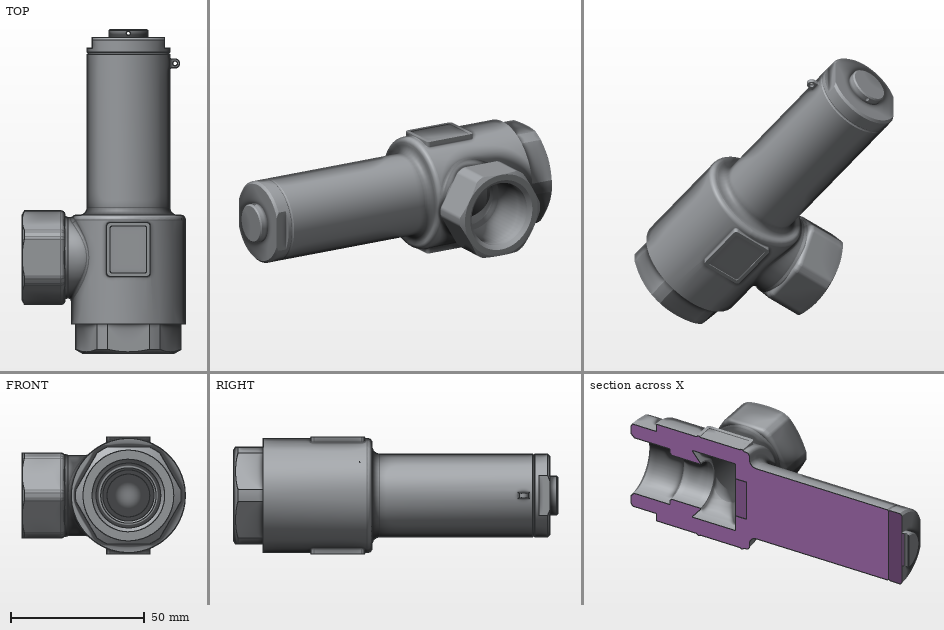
import cadquery as cq
import math


SELECT_MARGIN = 0.1

BODY_RADIUS = 21.4
SHOULDER_Y = 51.9
SHOULDER_FILLET = 1.8
BONNET_RADIUS = 15.5
BONNET_END_Y = 112.6
BONNET_FLARE = 2.8
BONNET_CHAMFER = 0.6

INLET_HEX_LENGTH = 11.0
INLET_HEX_FLATS = 36.3
INLET_HEX_CORNER_RADIUS = 19.8
INLET_FACE_RADIUS = 17.0

OUTLET_Y = 36.0
OUTLET_FACE_X = -39.9
OUTLET_HEX_FLATS = 32.0
OUTLET_HEX_CORNER_RADIUS = 17.6
OUTLET_FACE_RADIUS = 15.9
OUTLET_CORNER_FILLET = 2.4
OUTLET_BACK_X = -23.7
OUTLET_BACK_FILLET = 1.8
COLLAR_RADIUS = 15.4
NECK_START_X = -22.7
NECK_RADIUS = 15.1
NECK_FILLET = 1.2

HEX_SIDES = 6
HEX_CHAMFER_ANGLE = 30

THREAD_RADIUS = 12.2
THREAD_CHAMFER = 1.5
INLET_THREAD_DEPTH = 17.0
ORIFICE_RADIUS = 9.6
ORIFICE_CHAMFER = 0.79
OUTLET_THREAD_DEPTH = 21.9
OUTLET_BORE_RADIUS = 10.5
OUTLET_BORE_END_X = -10.0
OUTLET_CONE_LENGTH = 1.2
CHAMBER_RADIUS = 14.6
CHAMBER_FLOOR_Y = 26.9
CHAMBER_CEILING_Y = 45.6
SEAT_LIP_Y = 30.5
SEAT_LIP_WIDTH = 0.6

PISTON_RADIUS = 8.0
PISTON_LENGTH = 4.9

PAD_WIDTH = 16.3
PAD_LENGTH = 20.2
PAD_CENTRE_Y = 39.0
PAD_HEIGHT = 22.0
PAD_CORNER_RADIUS = 1.2
PAD_RIM = 1.3
PAD_FILLET = 0.4
PAD_RECESS = 0.4
PAD_RECESS_CORNER_RADIUS = 0.6
PAD_ROOT_Z = 17.0

EYE_X = 17.5
EYE_Y = 108.7
EYE_RADIUS = 1.7
EYE_HOLE_RADIUS = 0.9
EYE_THICKNESS = 1.7
EYE_FILLET = 0.5
EYE_EMBED = 1.2

CAP_END_Y = 118.5
CAP_TOP_CHAMFER = 0.9
CAP_BOTTOM_CHAMFER = 0.4
CAP_FLATS = 27.2
CAP_FLAT_START_Y = 114.5

SCREW_END_Y = 121.5
SCREW_RADIUS = 7.3
SCREW_CHAMFER = 0.5
SCREW_HOLE_RADIUS = 0.7
SCREW_HOLE_Y = 120.0


def y_cylinder(radius, start, end):
    """A cylinder on the main axis between two Y positions."""
    return cq.Workplane("XZ", origin=(0, start, 0)).circle(radius).extrude(start - end)


def turned_on_y(profile):
    """A solid turned about the main axis from (radius, y) points."""
    return cq.Workplane("XY").polyline(profile).close().revolve(360, (0, 0, 0), (0, 1, 0))


def turned_on_outlet(profile):
    """A solid turned about the outlet axis from (x, radius) points."""
    section = cq.Workplane("XY", origin=(0, OUTLET_Y, 0)).polyline(profile).close()
    return section.revolve(360, (0, 0, 0), (1, 0, 0))


def hexagon_diameter(flats):
    """Diameter across the sharp corners of a hexagon with the given width across flats."""
    return flats / math.cos(math.pi / HEX_SIDES)


def hex_chamfer_length(corner_radius, face_radius):
    """Axial length of the conical chamfer that cuts the hexagon corners down to the face circle."""
    return (corner_radius - face_radius) * math.tan(math.radians(HEX_CHAMFER_ANGLE))


def make_inlet_hex():
    chamfer = hex_chamfer_length(INLET_HEX_CORNER_RADIUS, INLET_FACE_RADIUS)
    outline = cq.Workplane("XZ").polygon(HEX_SIDES, hexagon_diameter(INLET_HEX_FLATS))
    prism = outline.extrude(-INLET_HEX_LENGTH)
    envelope = turned_on_y([
        (0, 0),
        (INLET_FACE_RADIUS, 0),
        (INLET_HEX_CORNER_RADIUS, chamfer),
        (INLET_HEX_CORNER_RADIUS, INLET_HEX_LENGTH),
        (0, INLET_HEX_LENGTH),
    ])
    return prism.intersect(envelope)


def make_outlet_hex():
    """Hexagon with rounded corners and back edge, joined to the neck by a tapered collar."""
    chamfer = hex_chamfer_length(OUTLET_HEX_CORNER_RADIUS, OUTLET_FACE_RADIUS)
    length = OUTLET_BACK_X - OUTLET_FACE_X
    plane = cq.Workplane("YZ", origin=(OUTLET_FACE_X, OUTLET_Y, 0))
    prism = plane.polygon(HEX_SIDES, hexagon_diameter(OUTLET_HEX_FLATS)).extrude(length)
    rounded = prism.intersect(plane.circle(OUTLET_HEX_CORNER_RADIUS).extrude(length))
    rounded = rounded.edges("|X").fillet(OUTLET_CORNER_FILLET)
    rounded = rounded.faces(">X").edges().fillet(OUTLET_BACK_FILLET)
    envelope = turned_on_outlet([
        (OUTLET_FACE_X, 0),
        (OUTLET_FACE_X, OUTLET_FACE_RADIUS),
        (OUTLET_FACE_X + chamfer, OUTLET_HEX_CORNER_RADIUS),
        (OUTLET_BACK_X, OUTLET_HEX_CORNER_RADIUS),
        (OUTLET_BACK_X, 0),
    ])
    collar_start = OUTLET_BACK_X - OUTLET_BACK_FILLET / 2
    collar = turned_on_outlet([
        (collar_start, 0),
        (collar_start, COLLAR_RADIUS),
        (OUTLET_BACK_X, COLLAR_RADIUS),
        (NECK_START_X, NECK_RADIUS),
        (NECK_START_X, 0),
    ])
    return rounded.intersect(envelope).union(collar)


def make_barrel():
    """Lower barrel and outlet neck, blended together, with the bonnet flaring out of the shoulder."""
    barrel = y_cylinder(BODY_RADIUS, INLET_HEX_LENGTH, SHOULDER_Y)
    barrel = barrel.edges(">Y").fillet(SHOULDER_FILLET)
    neck = (
        cq.Workplane("YZ", origin=(NECK_START_X, OUTLET_Y, 0))
        .circle(NECK_RADIUS)
        .extrude(-NECK_START_X)
    )
    joined = barrel.union(neck)
    neck_joint = cq.selectors.BoxSelector(
        (NECK_START_X + SELECT_MARGIN, 0, -BODY_RADIUS),
        (-SELECT_MARGIN, SHOULDER_Y, BODY_RADIUS),
        boundingbox=True,
    )
    joined = joined.edges(neck_joint).fillet(NECK_FILLET)
    bonnet = y_cylinder(BONNET_RADIUS, SHOULDER_Y, BONNET_END_Y).edges(">Y").chamfer(BONNET_CHAMFER)
    flare = (
        cq.Workplane("XY")
        .moveTo(0, SHOULDER_Y)
        .lineTo(BONNET_RADIUS + BONNET_FLARE, SHOULDER_Y)
        .radiusArc((BONNET_RADIUS, SHOULDER_Y + BONNET_FLARE), BONNET_FLARE)
        .lineTo(0, SHOULDER_Y + BONNET_FLARE)
        .close()
        .revolve(360, (0, 0, 0), (0, 1, 0))
    )
    return joined.union(bonnet).union(flare)


def make_pad():
    """Rounded nameplate pad with a raised rim, on the +Z side."""
    pad = (
        cq.Workplane("XY", origin=(0, PAD_CENTRE_Y, PAD_ROOT_Z))
        .rect(PAD_WIDTH, PAD_LENGTH)
        .extrude(PAD_HEIGHT - PAD_ROOT_Z)
        .edges("|Z")
        .fillet(PAD_CORNER_RADIUS)
    )
    recess = (
        cq.Workplane("XY", origin=(0, PAD_CENTRE_Y, PAD_HEIGHT))
        .rect(PAD_WIDTH - 2 * PAD_RIM, PAD_LENGTH - 2 * PAD_RIM)
        .extrude(-PAD_RECESS)
        .edges("|Z")
        .fillet(PAD_RECESS_CORNER_RADIUS)
    )
    return pad.cut(recess)


def add_pads(body):
    """Pads on the +Z and -Z sides, each blended into the barrel around its foot."""
    pad = make_pad()
    body = body.union(pad).union(pad.mirror("XY"))
    foot_half_width = PAD_WIDTH / 2 + SELECT_MARGIN
    foot_half_length = PAD_LENGTH / 2 + SELECT_MARGIN
    for side in (-1, 1):
        foot = cq.selectors.BoxSelector(
            (-foot_half_width, PAD_CENTRE_Y - foot_half_length, side * PAD_ROOT_Z),
            (foot_half_width, PAD_CENTRE_Y + foot_half_length, side * (BODY_RADIUS + SELECT_MARGIN)),
            boundingbox=True,
        )
        body = body.edges(foot).edges("not |Z").fillet(PAD_FILLET)
    return body


def add_sealing_eye(body):
    plane = cq.Workplane("XY", origin=(0, EYE_Y, -EYE_THICKNESS / 2))
    root_x = BONNET_RADIUS - EYE_EMBED
    tab = plane.center((root_x + EYE_X) / 2, 0).rect(EYE_X - root_x, 2 * EYE_RADIUS).extrude(EYE_THICKNESS)
    tab = tab.union(plane.center(EYE_X, 0).circle(EYE_RADIUS).extrude(EYE_THICKNESS))
    eye_root = cq.selectors.BoxSelector(
        (root_x, EYE_Y - 2 * EYE_RADIUS, -EYE_THICKNESS),
        (BONNET_RADIUS + SELECT_MARGIN, EYE_Y + 2 * EYE_RADIUS, EYE_THICKNESS),
        boundingbox=True,
    )
    body = body.union(tab).edges(eye_root).fillet(EYE_FILLET)
    return body.cut(plane.center(EYE_X, 0).circle(EYE_HOLE_RADIUS).extrude(EYE_THICKNESS))


def make_inlet_passage():
    """Threaded inlet, narrowing through a chamfered orifice into the chamber."""
    return turned_on_y([
        (0, 0),
        (THREAD_RADIUS + THREAD_CHAMFER, 0),
        (THREAD_RADIUS, THREAD_CHAMFER),
        (THREAD_RADIUS, INLET_THREAD_DEPTH),
        (ORIFICE_RADIUS + ORIFICE_CHAMFER, INLET_THREAD_DEPTH),
        (ORIFICE_RADIUS, INLET_THREAD_DEPTH + ORIFICE_CHAMFER),
        (ORIFICE_RADIUS, SEAT_LIP_Y),
        (0, SEAT_LIP_Y),
    ])


def make_outlet_passage():
    thread_end = OUTLET_FACE_X + OUTLET_THREAD_DEPTH
    return turned_on_outlet([
        (OUTLET_FACE_X, 0),
        (OUTLET_FACE_X, THREAD_RADIUS + THREAD_CHAMFER),
        (OUTLET_FACE_X + THREAD_CHAMFER, THREAD_RADIUS),
        (thread_end, THREAD_RADIUS),
        (thread_end + OUTLET_CONE_LENGTH, OUTLET_BORE_RADIUS),
        (OUTLET_BORE_END_X, OUTLET_BORE_RADIUS),
        (OUTLET_BORE_END_X, 0),
    ])


def make_chamber():
    """Chamber above the inlet; its floor rises to the conical seat lip around the orifice."""
    return turned_on_y([
        (0, SEAT_LIP_Y),
        (ORIFICE_RADIUS + SEAT_LIP_WIDTH, SEAT_LIP_Y),
        (CHAMBER_RADIUS, CHAMBER_FLOOR_Y),
        (CHAMBER_RADIUS, CHAMBER_CEILING_Y),
        (0, CHAMBER_CEILING_Y),
    ])


def make_piston():
    return y_cylinder(PISTON_RADIUS, CHAMBER_CEILING_Y, CHAMBER_CEILING_Y + PISTON_LENGTH)


def make_seat_blank():
    """Solid plug that restores the seat wall where the outlet bore has cut into it."""
    return y_cylinder(CHAMBER_RADIUS, INLET_THREAD_DEPTH, SEAT_LIP_Y)


def make_housing():
    body = make_barrel().union(make_inlet_hex()).union(make_outlet_hex())
    body = add_pads(body)
    body = add_sealing_eye(body)
    body = body.cut(make_outlet_passage()).union(make_seat_blank()).cut(make_chamber())
    return body.cut(make_inlet_passage()).cut(make_piston())


def make_cap():
    cap = y_cylinder(BONNET_RADIUS, BONNET_END_Y, CAP_END_Y)
    cap = cap.edges(">Y").chamfer(CAP_TOP_CHAMFER).edges("<Y").chamfer(CAP_BOTTOM_CHAMFER)
    flat_height = CAP_END_Y - CAP_FLAT_START_Y
    for side in (-1, 1):
        cutter = cq.Workplane("XY").box(BONNET_RADIUS, flat_height, 2 * BONNET_RADIUS).translate(
            (side * (CAP_FLATS + BONNET_RADIUS) / 2, CAP_FLAT_START_Y + flat_height / 2, 0)
        )
        cap = cap.cut(cutter)
    return cap


def make_screw():
    screw = y_cylinder(SCREW_RADIUS, CAP_END_Y, SCREW_END_Y).edges(">Y").chamfer(SCREW_CHAMFER)
    hole = (
        cq.Workplane("XY", origin=(0, SCREW_HOLE_Y, -SCREW_RADIUS))
        .circle(SCREW_HOLE_RADIUS)
        .extrude(2 * SCREW_RADIUS)
    )
    return screw.cut(hole)


housing = make_housing()
piston = make_piston()
cap = make_cap()
screw = make_screw()

result = cq.Compound.makeCompound([housing.val(), piston.val(), cap.val(), screw.val()])